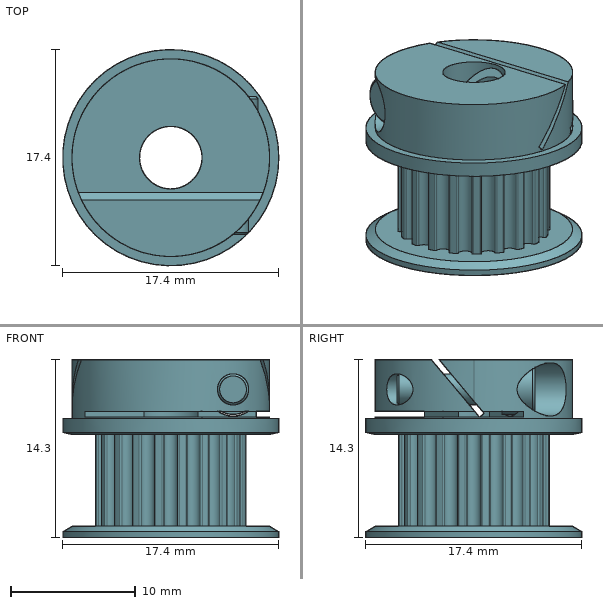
import cadquery as cq
import math

flange_radius = 8.7
flange_lip_radius = 7.93
lower_rim_height = 0.47
lower_flange_top = 0.92
upper_flange_bottom = 8.28
upper_rim_bottom = 8.45
upper_flange_top = 9.59
total_height = 14.3
hub_radius = 7.95
bore_radius = 2.5

tooth_count = 20
tooth_tip_radius = 6.1
groove_depth = 0.75
groove_radius = 0.55
tooth_tip_fillet = 0.14

relief_bottom = 9.7
relief_top = 10.15
relief_wall_angle = 30.0

slit_angle = 50.0
slit_thickness = 0.47
slit_front_y = -3.41
slit_end_z = 9.7

screw_x = 5.01
screw_z = 11.92
shank_radius = 1.25
head_radius = 2.02
head_hole_radius = 2.14
screw_tip_y = -6.18
head_start_y = 2.26
head_end_y = 4.9
screw_chamfer = 0.17

overcut = 0.17


def rod_along_y(radius, start_y, end_y):
    """Cylinder on the screw axis between two Y positions."""
    plane = cq.Plane(origin=(screw_x, start_y, screw_z), xDir=(1, 0, 0), normal=(0, 1, 0))
    return cq.Workplane(plane).circle(radius).extrude(end_y - start_y)


def make_turned_blank():
    """Revolve the two chamfered flanges, the tooth blank and the hub as one profile."""
    return (
        cq.Workplane("XZ")
        .moveTo(0, 0)
        .lineTo(flange_radius, 0)
        .lineTo(flange_radius, lower_rim_height)
        .lineTo(flange_lip_radius, lower_flange_top)
        .lineTo(tooth_tip_radius, lower_flange_top)
        .lineTo(tooth_tip_radius, upper_flange_bottom)
        .lineTo(flange_lip_radius, upper_flange_bottom)
        .lineTo(flange_radius, upper_rim_bottom)
        .lineTo(flange_radius, upper_flange_top)
        .lineTo(hub_radius, upper_flange_top)
        .lineTo(hub_radius, total_height)
        .lineTo(0, total_height)
        .close()
        .revolve(360, (0, 0, 0), (0, 1, 0))
    )


def make_tooth_groove():
    """U-shaped groove on the +Y side whose mouth is rounded onto the tooth tips."""
    mouth_half_width = groove_radius + tooth_tip_fillet
    mouth_y = math.sqrt(tooth_tip_radius**2 - mouth_half_width**2)
    fillet_end_y = mouth_y - tooth_tip_fillet
    root_y = tooth_tip_radius - groove_depth
    arc_center_y = root_y + groove_radius
    fillet_mid_offset = tooth_tip_fillet / math.sqrt(2)
    fillet_mid_x = mouth_half_width - fillet_mid_offset
    fillet_mid_y = fillet_end_y + fillet_mid_offset
    outside_y = tooth_tip_radius + overcut
    return (
        cq.Workplane("XY")
        .workplane(offset=lower_flange_top)
        .moveTo(-mouth_half_width, mouth_y)
        .threePointArc((-fillet_mid_x, fillet_mid_y), (-groove_radius, fillet_end_y))
        .lineTo(-groove_radius, arc_center_y)
        .threePointArc((0, root_y), (groove_radius, arc_center_y))
        .lineTo(groove_radius, fillet_end_y)
        .threePointArc((fillet_mid_x, fillet_mid_y), (mouth_half_width, mouth_y))
        .lineTo(mouth_half_width, outside_y)
        .lineTo(-mouth_half_width, outside_y)
        .close()
        .extrude(upper_flange_bottom - lower_flange_top)
    )


def make_relief_slot():
    """Half-disc gap whose wall passes through the hub axis, rotated towards +Y on the +X side."""
    reach = hub_radius + overcut
    gap = cq.Workplane("XY").box(
        2 * reach, reach, relief_top - relief_bottom, centered=(True, False, False)
    )
    gap = gap.translate((0, -reach, relief_bottom))
    return gap.rotate((0, 0, 0), (0, 0, 1), relief_wall_angle)


def make_slit():
    """Slanted slit with a square end, running through the hub along X."""
    slope = math.radians(slit_angle)
    depth = (total_height - slit_end_z) / math.sin(slope)
    end_y = slit_front_y + depth * math.cos(slope)
    plane = cq.Plane(
        origin=(0, end_y, slit_end_z),
        xDir=(1, 0, 0),
        normal=(0, -math.cos(slope), math.sin(slope)),
    )
    return cq.Workplane(plane).box(
        2 * (hub_radius + overcut), slit_thickness, depth + slit_thickness, centered=(True, False, False)
    )


def make_screw():
    """Screw with a chamfered tip towards -Y and a chamfered round head towards +Y."""
    shank = rod_along_y(shank_radius, screw_tip_y, head_start_y)
    shank = shank.faces("<Y").chamfer(screw_chamfer)
    head = rod_along_y(head_radius, head_start_y, head_end_y)
    head = head.faces(">Y").chamfer(screw_chamfer)
    return shank.union(head)


body = make_turned_blank()
groove = make_tooth_groove()
for index in range(tooth_count):
    body = body.cut(groove.rotate((0, 0, 0), (0, 0, 1), index * 360 / tooth_count))

body = body.cut(cq.Workplane("XY").circle(bore_radius).extrude(total_height))
body = body.cut(make_relief_slot())
body = body.cut(make_slit())
body = body.cut(rod_along_y(shank_radius, -hub_radius, head_start_y))
body = body.cut(rod_along_y(head_hole_radius, head_start_y, hub_radius))
result = body.union(make_screw())